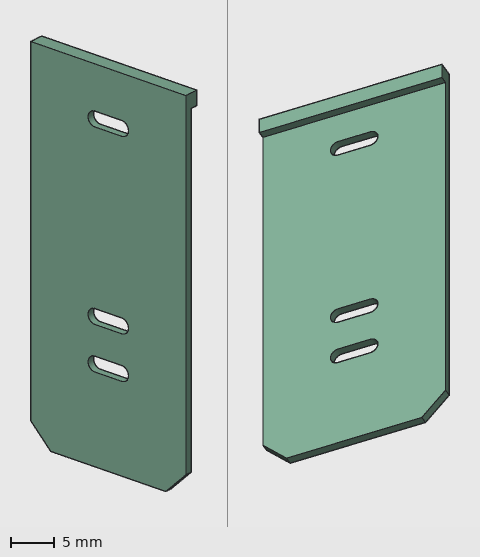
import cadquery as cq

width = 23.2
height = 51.0
plate_thickness = 1.0
corner_chamfer = 3.0

lip_depth = 2.0
lip_height = 2.0

slot_length = 6.0
slot_height = 2.0
slot_drops = (7.0, 32.0, 38.0)


def make_plate():
    plate = cq.Workplane("XY").box(width, plate_thickness, height, centered=(True, False, False))
    return plate.faces("<Z").edges("|Y").chamfer(corner_chamfer)


def make_lip():
    lip = cq.Workplane("XY").box(width, lip_depth, lip_height, centered=(True, False, False))
    return lip.translate((0, 0, height - lip_height))


def make_slots():
    centres = [(0, height - drop) for drop in slot_drops]
    return cq.Workplane("XZ").pushPoints(centres).slot2D(slot_length, slot_height).extrude(-plate_thickness)


result = make_plate().union(make_lip()).cut(make_slots())